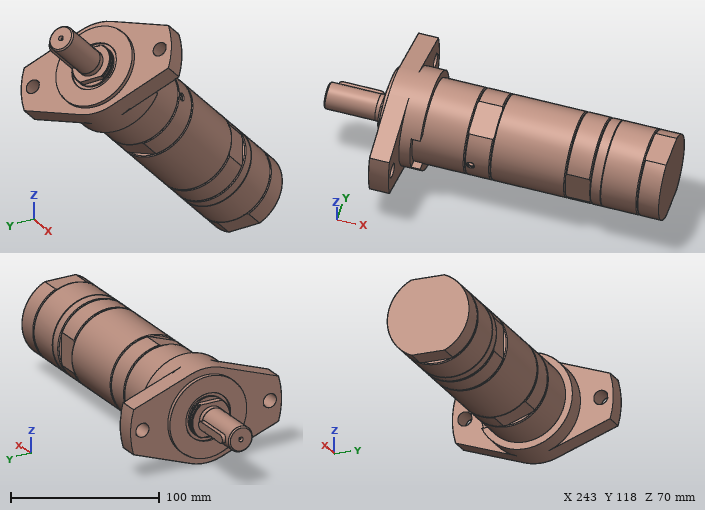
import cadquery as cq
import math

total_length = 243.0

shaft_dia = 19.0
shaft_tip_dia = 18.7
shaft_step_x = 36.2
shaft_chamfer = 1.0
center_mouth_dia = 3.5
center_drill_dia = 1.55
center_drill_depth = 3.6
center_sink_angle = 60.0

key_start_x = 4.5
key_end_x = 36.7
key_width = 6.0
key_top_y = 12.0
key_floor_y = 6.0

collar_start_x = 39.9
collar_dia = 29.2
collar_band_dia = 30.0
collar_band_start_x = 41.0
collar_band_end_x = 43.0
collar_flat_height = 12.2

body_dia = 60.0
pilot_face_x = 44.0
recess_dia = 35.0
recess_depth = 1.5
flange_start_x = 47.0
flange_end_x = 61.0
flange_end_dia = 118.0
hub_dia = 70.0
hub_end_x = 75.0
flange_taper = 20.0
bolt_spacing = 99.6
bolt_hole_dia = 10.2

hub_notch_x = 68.8
hub_notch_width = 30.1

ring_front_x = 105.7
ring_rear_x = 123.7
gear_rear_x = 176.7
coupling_rear_x = 194.2
cap_joint_x = 202.0
motor_rear_x = 227.7
joint_chamfer = 0.7
fine_joint_chamfer = 0.2

flat_distance = 27.5
ring_flat_tilt = 20.0

port_x = 110.0
port_dia = 5.5
port_depth = 1.2
port_bore_dia = 3.6
port_bore_depth = 2.5
port_tip_dia = 1.6
port_tip_depth = 3.6


def cylinder(start_x, end_x, dia):
    """Solid cylinder on the X axis."""
    return cq.Workplane("YZ", origin=(start_x, 0, 0)).circle(dia / 2).extrude(end_x - start_x)


def segment(start_x, end_x, front_chamfer, rear_chamfer):
    """Housing segment with an optional chamfer at each end."""
    body = cylinder(start_x, end_x, body_dia)
    if front_chamfer:
        body = body.faces("<X").chamfer(front_chamfer)
    if rear_chamfer:
        body = body.faces(">X").chamfer(rear_chamfer)
    return body


def between_flats(start_x, end_x, distance, tilt):
    """Slab that keeps the material between two parallel flats, turned about X by tilt."""
    slab = cq.Workplane("XY").box(end_x - start_x, 2 * hub_dia, 2 * distance)
    slab = slab.rotate((0, 0, 0), (1, 0, 0), tilt)
    return slab.translate(((start_x + end_x) / 2, 0, 0))


def make_shaft():
    tip = cylinder(0, shaft_step_x, shaft_tip_dia).faces("<X").chamfer(shaft_chamfer)
    shaft = tip.union(cylinder(shaft_step_x, hub_end_x, shaft_dia))
    sink_depth = (center_mouth_dia - center_drill_dia) / 2 / math.tan(math.radians(center_sink_angle / 2))
    center_drill = (
        cq.Workplane("XY")
        .polyline([
            (0, 0),
            (0, center_mouth_dia / 2),
            (sink_depth, center_drill_dia / 2),
            (center_drill_depth, center_drill_dia / 2),
            (center_drill_depth, 0),
        ])
        .close()
        .revolve(360, (0, 0, 0), (1, 0, 0))
    )
    return shaft.cut(center_drill)


def make_key():
    """Round-ended key, seated inside the shaft and standing proud on +Y."""
    return (
        cq.Workplane("XZ", origin=((key_start_x + key_end_x) / 2, key_floor_y, 0))
        .slot2D(key_end_x - key_start_x, key_width)
        .extrude(key_floor_y - key_top_y)
    )


def make_collar():
    collar = cylinder(collar_start_x, pilot_face_x, collar_dia)
    collar = collar.union(cylinder(collar_band_start_x, collar_band_end_x, collar_band_dia))
    flats = between_flats(collar_start_x, pilot_face_x, collar_flat_height, 0)
    base = cylinder(pilot_face_x, flange_end_x, collar_band_dia)
    return collar.intersect(flats).union(base)


def make_flange():
    hub_radius = hub_dia / 2
    end_radius = flange_end_dia / 2
    taper = math.radians(flange_taper)
    tangent_y = hub_radius * math.sin(taper)
    tangent_z = hub_radius * math.cos(taper)
    corner_angle = math.pi / 2 - taper - math.acos(hub_radius / end_radius)
    corner_y = end_radius * math.cos(corner_angle)
    corner_z = end_radius * math.sin(corner_angle)
    flange = (
        cq.Workplane("YZ", origin=(flange_start_x, 0, 0))
        .moveTo(-tangent_y, tangent_z)
        .threePointArc((0, hub_radius), (tangent_y, tangent_z))
        .lineTo(corner_y, corner_z)
        .threePointArc((end_radius, 0), (corner_y, -corner_z))
        .lineTo(tangent_y, -tangent_z)
        .threePointArc((0, -hub_radius), (-tangent_y, -tangent_z))
        .lineTo(-corner_y, -corner_z)
        .threePointArc((-end_radius, 0), (-corner_y, corner_z))
        .close()
        .extrude(flange_end_x - flange_start_x)
    )
    bolt_holes = (
        cq.Workplane("YZ", origin=(flange_start_x, 0, 0))
        .pushPoints([(-bolt_spacing / 2, 0), (bolt_spacing / 2, 0)])
        .circle(bolt_hole_dia / 2)
        .extrude(flange_end_x - flange_start_x)
    )
    flange = flange.cut(bolt_holes)
    pilot = cylinder(pilot_face_x, hub_notch_x, body_dia)
    pilot = pilot.cut(cylinder(pilot_face_x, pilot_face_x + recess_depth, recess_dia))
    hub = cylinder(flange_start_x, hub_end_x, hub_dia)
    notch = (
        cq.Workplane("XY", origin=(hub_notch_x, -hub_dia, 0))
        .box(hub_end_x - hub_notch_x, hub_dia, hub_notch_width, centered=(False, False, True))
    )
    return hub.cut(notch).union(flange).union(pilot)


def make_ring():
    ring = segment(ring_front_x, ring_rear_x, joint_chamfer, joint_chamfer)
    ring = ring.intersect(between_flats(ring_front_x, ring_rear_x, flat_distance, ring_flat_tilt))
    for dia, depth in (
        (port_dia, port_depth),
        (port_bore_dia, port_depth + port_bore_depth),
        (port_tip_dia, port_depth + port_bore_depth + port_tip_depth),
    ):
        floor = cq.Workplane("XZ", origin=(port_x, depth - body_dia / 2, 0))
        ring = ring.cut(floor.circle(dia / 2).extrude(body_dia))
    return ring


def make_coupling():
    coupling = segment(gear_rear_x, coupling_rear_x, joint_chamfer, joint_chamfer)
    return coupling.intersect(between_flats(gear_rear_x, coupling_rear_x, flat_distance, 90))


def make_end_cap():
    cap = segment(motor_rear_x, total_length, joint_chamfer, 0)
    return cap.intersect(between_flats(motor_rear_x, total_length, flat_distance, 0))


result = make_flange()
for piece in (
    make_collar(),
    make_shaft(),
    make_key(),
    segment(hub_notch_x, ring_front_x, 0, joint_chamfer),
    make_ring(),
    segment(ring_rear_x, gear_rear_x, joint_chamfer, joint_chamfer),
    make_coupling(),
    segment(coupling_rear_x, cap_joint_x, joint_chamfer, fine_joint_chamfer),
    segment(cap_joint_x, motor_rear_x, fine_joint_chamfer, joint_chamfer),
    make_end_cap(),
):
    result = result.union(piece)